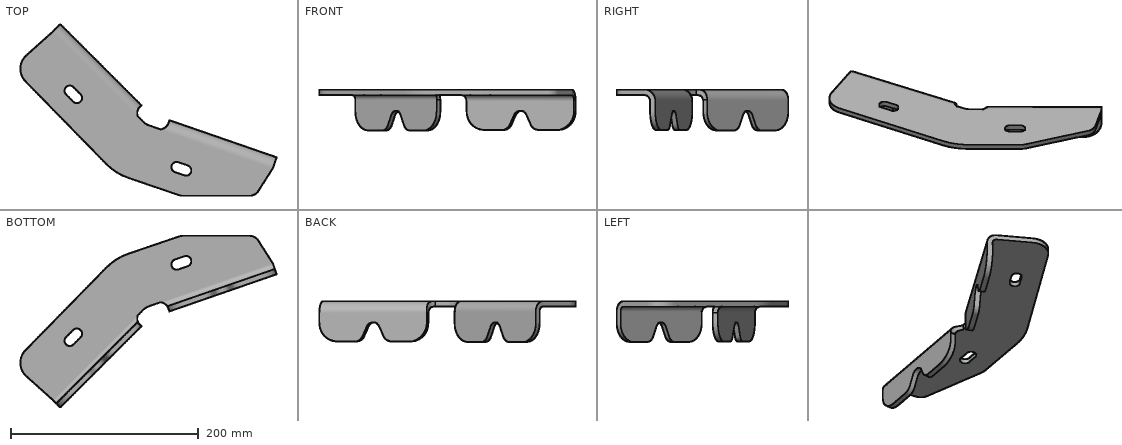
import cadquery as cq
import math

thickness = 6.0

corner_x = 133.5
corner_y = 76.5
inner_corner_radius = 16.5
outer_corner_radius = 60.0
end_corner_radius = 19.0
right_corner_radius = 11.7
bottom_corner_radius = 16.5

left_angle = 135.0
right_angle = -19.1
left_reach = 139.5
right_reach = 143.5

left_wall_length = 122.5
right_wall_length = 121.0
left_bend_radius = 11.0
right_bend_radius = 12.3
left_drop = 43.7
right_drop = 43.2
flare_length = 5.5
wall_corner_radius = 20.0

notch_depth = 22.7
notch_tip_radius = 7.6
notch_mouth_radius = 10.0
notch_flank_angle = math.radians(25)

slot_width = 11.0
slot_length = 21.5
left_slot_center = (56.5, 108.2)
right_slot_center = (171.5, 29.0)


def along_arm(angle, reach):
    """Point at a given reach from the inner corner along a bend line."""
    direction = math.radians(angle)
    return (corner_x + reach * math.cos(direction), corner_y + reach * math.sin(direction))


def make_plate():
    corners = [
        ((corner_x, corner_y), inner_corner_radius),
        (along_arm(left_angle, left_reach), 0),
        ((-8.5, 136.3), end_corner_radius),
        ((101.5, 23.8), outer_corner_radius),
        ((171.3, 0), bottom_corner_radius),
        ((250.2, 0), right_corner_radius),
        (along_arm(right_angle, right_reach), 0),
    ]
    plate = cq.Workplane("XY").polyline([point for point, _ in corners]).close().extrude(-thickness)
    for (x, y), radius in corners:
        if radius > 0:
            edge = cq.selectors.NearestToPointSelector((x, y, -thickness / 2))
            plate = plate.edges("|Z").edges(edge).fillet(radius)
    return plate


def make_notch(center, drop):
    """Rounded V-notch cutter, open at the foot of the wall, with rounded mouth corners."""
    sin_flank = math.sin(notch_flank_angle)
    cos_flank = math.cos(notch_flank_angle)
    tip_center_z = -notch_depth - notch_tip_radius
    tip_x = notch_tip_radius * cos_flank
    tip_z = tip_center_z + notch_tip_radius * sin_flank
    mouth_center_z = -drop + notch_mouth_radius
    flank_end_z = mouth_center_z - notch_mouth_radius * sin_flank
    flank_end_x = tip_x + (tip_z - flank_end_z) * math.tan(notch_flank_angle)
    mouth_x = flank_end_x + notch_mouth_radius * cos_flank
    middle_angle = (notch_flank_angle + math.pi / 2) / 2
    middle_x = mouth_x - notch_mouth_radius * math.cos(middle_angle)
    middle_z = mouth_center_z - notch_mouth_radius * math.sin(middle_angle)
    return (
        cq.Workplane("XZ")
        .moveTo(center - mouth_x, -drop)
        .threePointArc((center - middle_x, middle_z), (center - flank_end_x, flank_end_z))
        .lineTo(center - tip_x, tip_z)
        .threePointArc((center, -notch_depth), (center + tip_x, tip_z))
        .lineTo(center + flank_end_x, flank_end_z)
        .threePointArc((center + middle_x, middle_z), (center + mouth_x, -drop))
        .close()
        .extrude(thickness * 4, both=True)
    )


def make_flange(reach, wall_length, radius, drop):
    """Flange along +X, bending from the line Y = 0 outward to +Y and down."""
    wall_start = reach - wall_length
    inner_radius = radius - thickness

    diagonal = math.sqrt(0.5)
    bend = (
        cq.Workplane("YZ", origin=(wall_start - flare_length, 0, 0))
        .moveTo(0, 0)
        .threePointArc((radius * diagonal, radius * (diagonal - 1)), (radius, -radius))
        .lineTo(inner_radius, -radius)
        .threePointArc((inner_radius * diagonal, inner_radius * diagonal - radius), (0, -thickness))
        .close()
        .extrude(wall_length + flare_length)
    )
    flare_cut = (
        cq.Workplane("XY")
        .moveTo(wall_start - flare_length, 0)
        .threePointArc(
            (wall_start - flare_length * (1 - diagonal), radius * (1 - diagonal)),
            (wall_start, radius),
        )
        .lineTo(wall_start - flare_length, radius)
        .close()
        .extrude(-drop)
    )
    bend = bend.cut(flare_cut)

    wall_height = drop - radius
    wall = (
        cq.Workplane("XY")
        .box(wall_length, thickness, wall_height, centered=False)
        .translate((wall_start, inner_radius, -drop))
        .edges("|Y and <Z")
        .fillet(wall_corner_radius)
    )
    wall = wall.cut(make_notch(wall_start + wall_length / 2, drop))
    return bend.union(wall)


def place_on_arm(flange, angle):
    return flange.rotate((0, 0, 0), (0, 0, 1), angle).translate((corner_x, corner_y, 0))


def make_slot(center, angle):
    return (
        cq.Workplane("XY")
        .center(*center)
        .slot2D(slot_length, slot_width, angle)
        .extrude(-thickness)
    )


left_flange = make_flange(left_reach, left_wall_length, left_bend_radius, left_drop).mirror("XZ")
right_flange = make_flange(right_reach, right_wall_length, right_bend_radius, right_drop)

result = (
    make_plate()
    .union(place_on_arm(left_flange, left_angle))
    .union(place_on_arm(right_flange, right_angle))
    .cut(make_slot(left_slot_center, left_angle))
    .cut(make_slot(right_slot_center, right_angle))
)